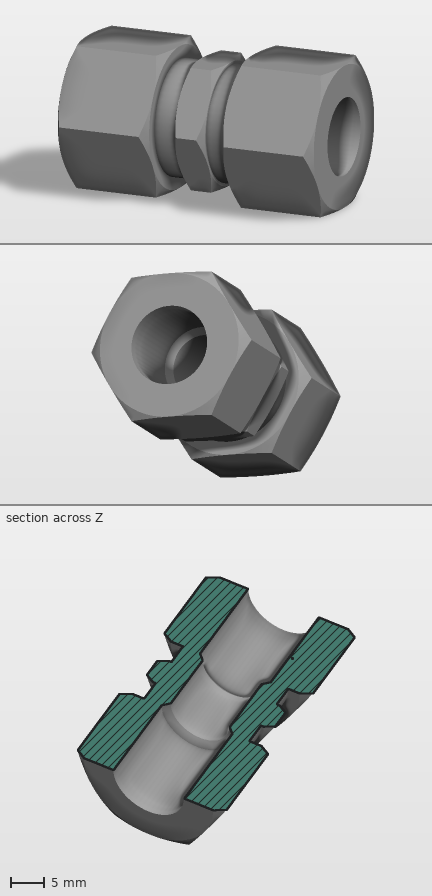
import cadquery as cq
import math

LENGTH = 42.0
NUT_LENGTH = 15.0
NUT_FLATS = 22.0
BODY_DIAMETER = 18.0
COLLAR_LENGTH = 5.0
COLLAR_FLATS = 19.0
BORE_DIAMETER = 10.0
SOCKET_DIAMETER = 12.0
SOCKET_DEPTH = NUT_LENGTH
TAPER_HALF_ANGLE = 45.0
CHAMFER_ANGLE = 30.0


def cylinder(diameter, length, start):
    """Cylinder along +X from x = start."""
    return cq.Workplane("YZ", origin=(start, 0, 0)).circle(diameter / 2).extrude(length)


def chamfered_hexagon(flats, length, start):
    """Hexagonal prism, corners on the Y axis, with both ends turned conical."""
    corners = flats / math.cos(math.radians(30))
    prism = cq.Workplane("YZ", origin=(start, 0, 0)).polygon(6, corners).extrude(length)
    face_radius = flats / 2
    corner_radius = corners / 2
    setback = (corner_radius - face_radius) * math.tan(math.radians(CHAMFER_ANGLE))
    envelope = (
        cq.Workplane("XY")
        .moveTo(start, 0)
        .lineTo(start, face_radius)
        .lineTo(start + setback, corner_radius)
        .lineTo(start + length - setback, corner_radius)
        .lineTo(start + length, face_radius)
        .lineTo(start + length, 0)
        .close()
        .revolve(360, (0, 0, 0), (1, 0, 0))
    )
    return prism.intersect(envelope)


left_end = -LENGTH / 2
right_nut_start = LENGTH / 2 - NUT_LENGTH

result = cylinder(BODY_DIAMETER, LENGTH - 2 * NUT_LENGTH, left_end + NUT_LENGTH)
result = result.union(chamfered_hexagon(COLLAR_FLATS, COLLAR_LENGTH, -COLLAR_LENGTH / 2))
for nut_start in (left_end, right_nut_start):
    result = result.union(chamfered_hexagon(NUT_FLATS, NUT_LENGTH, nut_start))

bore_radius = BORE_DIAMETER / 2
socket_radius = SOCKET_DIAMETER / 2
taper_length = (socket_radius - bore_radius) / math.tan(math.radians(TAPER_HALF_ANGLE))
socket_bottom = left_end + SOCKET_DEPTH
taper_end = socket_bottom + taper_length
passage = (
    cq.Workplane("XY")
    .moveTo(left_end, 0)
    .lineTo(left_end, socket_radius)
    .lineTo(socket_bottom, socket_radius)
    .lineTo(taper_end, bore_radius)
    .lineTo(-taper_end, bore_radius)
    .lineTo(-socket_bottom, socket_radius)
    .lineTo(-left_end, socket_radius)
    .lineTo(-left_end, 0)
    .close()
    .revolve(360, (0, 0, 0), (1, 0, 0))
)
result = result.cut(passage)